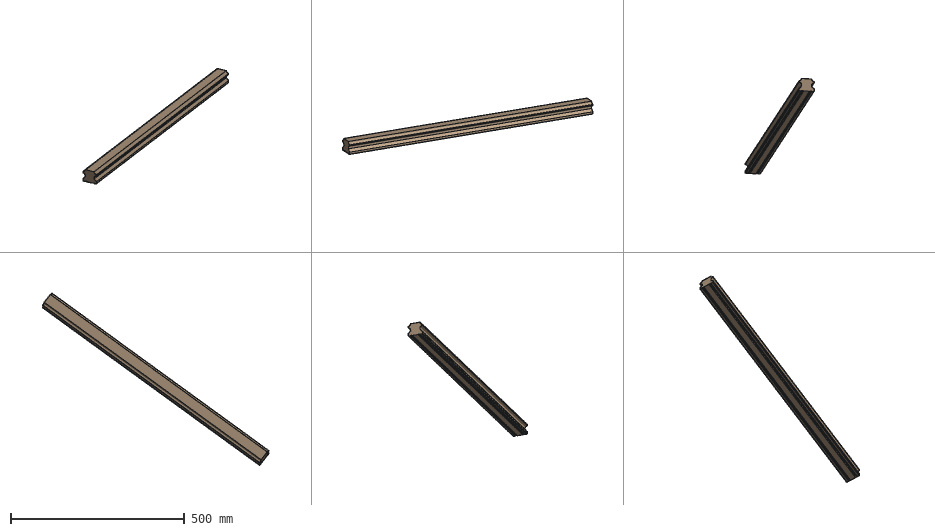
import cadquery as cq
import math

length = 785.0
width = 45.0

foot_chamfer = 1.5
foot_side_height = 6.05
shoulder_height = 8.0
waist_height = 4.55
lower_track_height = 6.0
tip_height = 4.6
upper_track_height = 6.1
top_edge_height = 1.25

shoulder_z = foot_chamfer + foot_side_height
waist_bottom_z = shoulder_z + shoulder_height
waist_top_z = waist_bottom_z + waist_height
tip_bottom_z = waist_top_z + lower_track_height
tip_top_z = tip_bottom_z + tip_height
upper_track_z = tip_top_z + upper_track_height
height = upper_track_z + top_edge_height

head_top_width = 30.0
waist_width = 30.0

tip_chamfer_x = 1.4
tip_chamfer_z = 1.0

track_sag = 1.2

groove_inner_x = 9.0
groove_outer_x = 15.0
groove_depth = 1.1
groove_inner_slope = 3.1


def track_middle(start, end):
    """Middle of a track arc, pushed in from its chord toward the rail's center plane."""
    dx = end[0] - start[0]
    dz = end[1] - start[1]
    chord = math.hypot(dx, dz)
    mid_x = (start[0] + end[0]) / 2 + track_sag * dz / chord
    mid_z = (start[1] + end[1]) / 2 - track_sag * dx / chord
    return mid_x, mid_z


def half_rail():
    """The half of the rail on the +X side of its center plane."""
    half_width = width / 2
    half_waist = waist_width / 2
    half_top = head_top_width / 2
    upper_track_start = (half_top, upper_track_z)
    upper_track_end = (half_width - tip_chamfer_x, tip_top_z)
    lower_track_start = (half_width - tip_chamfer_x, tip_bottom_z)
    lower_track_end = (half_waist, waist_top_z)
    return (
        cq.Workplane("XZ", origin=(0, length / 2, 0))
        .moveTo(0, height)
        .lineTo(half_top, height)
        .lineTo(*upper_track_start)
        .threePointArc(track_middle(upper_track_start, upper_track_end), upper_track_end)
        .lineTo(half_width, tip_top_z - tip_chamfer_z)
        .lineTo(half_width, tip_bottom_z + tip_chamfer_z)
        .lineTo(*lower_track_start)
        .threePointArc(track_middle(lower_track_start, lower_track_end), lower_track_end)
        .lineTo(half_waist, waist_bottom_z)
        .lineTo(half_width, shoulder_z)
        .lineTo(half_width, foot_chamfer)
        .lineTo(half_width - foot_chamfer, 0)
        .lineTo(groove_outer_x, 0)
        .lineTo(groove_outer_x, groove_depth)
        .lineTo(groove_inner_x + groove_inner_slope, groove_depth)
        .lineTo(groove_inner_x, 0)
        .lineTo(0, 0)
        .close()
        .extrude(length)
    )


right_half = half_rail()
result = right_half.union(right_half.mirror("YZ")).clean()